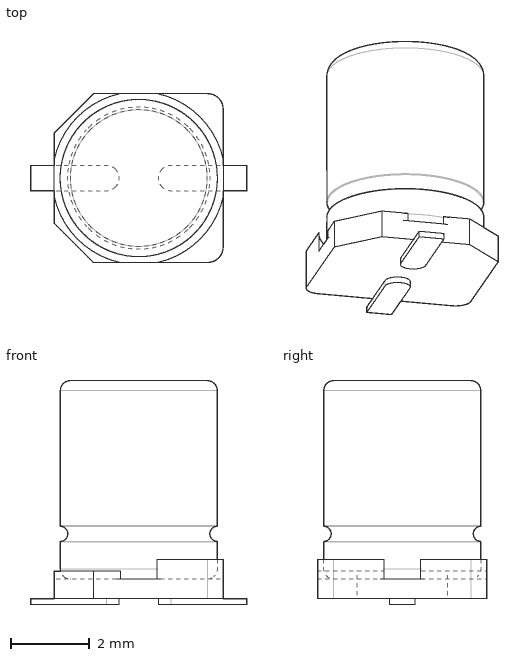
import cadquery as cq


lead_thickness = 0.15
lead_width = 0.65
lead_span = 5.5
lead_gap = 1.0

base_width = 4.3
base_bottom = lead_thickness
low_side_top = 0.85
high_side_top = 1.15
corner_chamfer = 1.0
corner_radius = 0.4

recess_radius = 2.2
recess_floor = 0.65

can_radius = 2.0
can_top = 5.7
can_edge_radius = 0.26
groove_center_z = 1.8
groove_radius = 0.19
groove_lip_radius = 0.02
lip_reach = groove_radius + groove_lip_radius


def make_base():
    """Square plate, chamfered and lower on -X, rounded and taller on +X, with the can recess."""
    base = cq.Workplane("XY").box(
        base_width, base_width, high_side_top - base_bottom, centered=(True, True, False)
    )
    base = base.edges("|Z and <X").chamfer(corner_chamfer)
    base = base.edges("|Z and >X").fillet(corner_radius)
    base = base.translate((0, 0, base_bottom))

    step = cq.Workplane("XY", origin=(-base_width / 2, 0, low_side_top)).box(
        base_width, base_width, high_side_top - low_side_top, centered=(True, True, False)
    )
    recess = (
        cq.Workplane("XY", origin=(0, 0, recess_floor))
        .circle(recess_radius)
        .extrude(high_side_top - recess_floor)
    )
    return base.cut(step).cut(recess)


def make_can():
    """Cylinder with rounded end edges and a round-lipped groove near its foot."""
    can = (
        cq.Workplane("XY", origin=(0, 0, recess_floor))
        .circle(can_radius)
        .extrude(can_top - recess_floor)
        .edges("%CIRCLE")
        .fillet(can_edge_radius)
    )
    groove = (
        cq.Workplane("XZ")
        .moveTo(can_radius, groove_center_z - groove_radius)
        .threePointArc(
            (can_radius - groove_radius, groove_center_z),
            (can_radius, groove_center_z + groove_radius),
        )
        .close()
        .revolve(360, (0, 0, 0), (0, 1, 0))
    )
    grooved_can = can.cut(groove)
    lip_zone = cq.selectors.BoxSelector(
        (-can_radius, -can_radius, groove_center_z - lip_reach),
        (can_radius, can_radius, groove_center_z + lip_reach),
    )
    return grooved_can.edges(lip_zone).edges("%CIRCLE").fillet(groove_lip_radius)


def make_lead(side):
    """Flat lead under the base, round at its inner end; side is -1 for -X and +1 for +X."""
    tip_radius = lead_width / 2
    tip_center_x = lead_gap / 2 + tip_radius
    outer_x = lead_span / 2
    return (
        cq.Workplane("XY")
        .moveTo(side * outer_x, -tip_radius)
        .lineTo(side * tip_center_x, -tip_radius)
        .threePointArc((side * lead_gap / 2, 0), (side * tip_center_x, tip_radius))
        .lineTo(side * outer_x, tip_radius)
        .close()
        .extrude(lead_thickness)
    )


result = make_base().union(make_can())
for side in (-1, 1):
    result = result.union(make_lead(side))